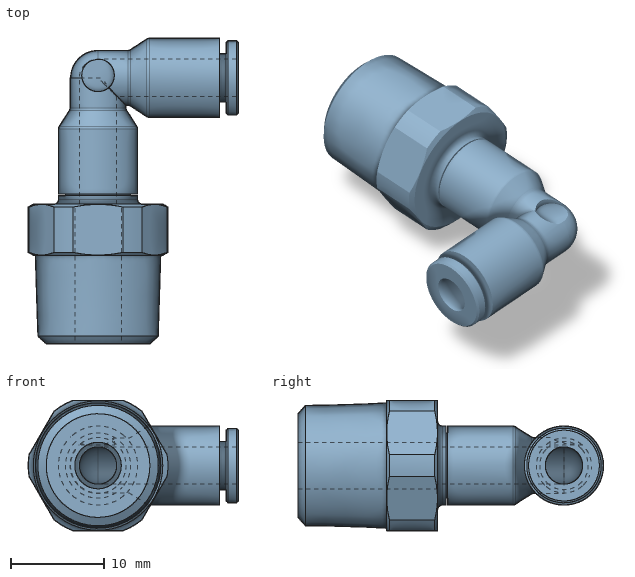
import cadquery as cq
import math


FULL_TURN = 360

SHOULDER_START = 3.37
SHOULDER_END = 5.35
SHOULDER_BLEND = 0.5
BODY_RADIUS = 4.25

STEM_NECK_RADIUS = 3.0
HEX_LENGTH = 5.5
THREAD_LENGTH = 9.5
THREAD_END = 28.55
HEX_END = THREAD_END - THREAD_LENGTH
HEX_START = HEX_END - HEX_LENGTH
COLLAR_FILLET = 0.5
COLLAR_LENGTH = 0.9
COLLAR_START = HEX_START - COLLAR_LENGTH
SWIVEL_GAP = 0.17
SWIVEL_CORE_RADIUS = 3.5

HEX_FLATS = 14.0
HEX_TURN = 30
HEX_CORNER_RADIUS = 7.5
HEX_FACE_RADIUS = 6.95
HEX_CHAMFER_ANGLE = 30

THREAD_GAUGE_RADIUS = 6.58
THREAD_GAUGE_LENGTH = 4.5
THREAD_RADIUS_TAPER = 1 / 32
THREAD_CHAMFER_WIDTH = 0.9
THREAD_CHAMFER_LENGTH = 0.82

BRANCH_NECK_RADIUS = 2.95
BRANCH_BODY_END = 13.05
COLLET_START = 13.75
COLLET_END = 15.05
COLLET_NECK_RADIUS = 2.6
COLLET_RADIUS = 4.0
COLLET_CHAMFER = 0.2

BORE_RADIUS = 2.0
INLET_RADIUS = 2.5

RECESS_RADIUS = 1.75
RECESS_CENTRE_Y = 0.27
RECESS_FLOOR_Z = 2.2


def revolve_stem(points):
    """Revolve (radius, distance) points about the stem axis, distance along -Y."""
    outline = [(radius, -distance) for radius, distance in points]
    return cq.Workplane("XY").polyline(outline).close().revolve(FULL_TURN, (0, 0, 0), (0, 1, 0))


def revolve_branch(points):
    """Revolve (radius, distance) points about the branch axis, distance along +X."""
    outline = [(distance, radius) for radius, distance in points]
    return cq.Workplane("XY").polyline(outline).close().revolve(FULL_TURN, (0, 0, 0), (1, 0, 0))


def blend_shoulder(arm, axis, side):
    """Round both circular edges of the conical shoulder of an arm."""
    reach = 2 * BODY_RADIUS
    near = SHOULDER_START - SHOULDER_BLEND
    far = SHOULDER_END + SHOULDER_BLEND
    low, high = sorted((side * near, side * far))
    if axis == "X":
        zone = cq.selectors.BoxSelector((low, -reach, -reach), (high, reach, reach))
    else:
        zone = cq.selectors.BoxSelector((-reach, low, -reach), (reach, high, reach))
    return arm.edges("%CIRCLE").edges(zone).fillet(SHOULDER_BLEND)


def make_stem():
    stem = revolve_stem([
        (0, 0),
        (STEM_NECK_RADIUS, 0),
        (STEM_NECK_RADIUS, SHOULDER_START),
        (BODY_RADIUS, SHOULDER_END),
        (BODY_RADIUS, COLLAR_START - SWIVEL_GAP),
        (SWIVEL_CORE_RADIUS, COLLAR_START - SWIVEL_GAP),
        (SWIVEL_CORE_RADIUS, HEX_START),
        (0, HEX_START),
    ])
    return blend_shoulder(stem, "Y", -1)


def make_collar():
    """Short collar that flares into the end face of the hexagon."""
    flare_start = HEX_START - COLLAR_FILLET
    flare_radius = BODY_RADIUS + COLLAR_FILLET
    arc_offset = COLLAR_FILLET * math.cos(math.pi / 4)
    return (
        cq.Workplane("XY")
        .moveTo(0, -COLLAR_START)
        .lineTo(BODY_RADIUS, -COLLAR_START)
        .lineTo(BODY_RADIUS, -flare_start)
        .threePointArc((flare_radius - arc_offset, -flare_start - arc_offset), (flare_radius, -HEX_START))
        .lineTo(0, -HEX_START)
        .close()
        .revolve(FULL_TURN, (0, 0, 0), (0, 1, 0))
    )


def make_hexagon():
    """Hexagon with flats facing +Z and -Z, turned down at its corners and chamfered."""
    prism = (
        cq.Workplane("XZ", origin=(0, -HEX_START, 0))
        .polygon(6, HEX_FLATS, circumscribed=True)
        .extrude(HEX_LENGTH)
        .rotate((0, 0, 0), (0, 1, 0), HEX_TURN)
    )
    chamfer_width = HEX_CORNER_RADIUS - HEX_FACE_RADIUS
    chamfer_length = chamfer_width * math.tan(math.radians(HEX_CHAMFER_ANGLE))
    turned_blank = revolve_stem([
        (0, HEX_START),
        (HEX_FACE_RADIUS, HEX_START),
        (HEX_CORNER_RADIUS, HEX_START + chamfer_length),
        (HEX_CORNER_RADIUS, HEX_END - chamfer_length),
        (HEX_FACE_RADIUS, HEX_END),
        (0, HEX_END),
    ])
    return prism.intersect(turned_blank)


def make_thread():
    gauge_plane = THREAD_END - THREAD_GAUGE_LENGTH

    def thread_radius(distance):
        return THREAD_GAUGE_RADIUS - (distance - gauge_plane) * THREAD_RADIUS_TAPER

    chamfer_start = THREAD_END - THREAD_CHAMFER_LENGTH
    end_radius = thread_radius(chamfer_start)
    return revolve_stem([
        (0, HEX_END),
        (thread_radius(HEX_END), HEX_END),
        (end_radius, chamfer_start),
        (end_radius - THREAD_CHAMFER_WIDTH, THREAD_END),
        (0, THREAD_END),
    ])


def make_branch():
    branch = revolve_branch([
        (0, 0),
        (BRANCH_NECK_RADIUS, 0),
        (BRANCH_NECK_RADIUS, SHOULDER_START),
        (BODY_RADIUS, SHOULDER_END),
        (BODY_RADIUS, BRANCH_BODY_END),
        (0, BRANCH_BODY_END),
    ])
    return blend_shoulder(branch, "X", 1)


def make_collet():
    return revolve_branch([
        (0, BRANCH_BODY_END),
        (COLLET_NECK_RADIUS, BRANCH_BODY_END),
        (COLLET_NECK_RADIUS, COLLET_START),
        (COLLET_RADIUS - COLLET_CHAMFER, COLLET_START),
        (COLLET_RADIUS, COLLET_START + COLLET_CHAMFER),
        (COLLET_RADIUS, COLLET_END - COLLET_CHAMFER),
        (COLLET_RADIUS - COLLET_CHAMFER, COLLET_END),
        (0, COLLET_END),
    ])


def make_passages():
    """Right-angle bore with a ball-shaped corner, widened inside hexagon and thread."""
    stem_bore = cq.Workplane("XZ").circle(BORE_RADIUS).extrude(THREAD_END)
    inlet = (
        cq.Workplane("XZ", origin=(0, -HEX_START, 0))
        .circle(INLET_RADIUS)
        .extrude(THREAD_END - HEX_START)
    )
    branch_bore = cq.Workplane("YZ").circle(BORE_RADIUS).extrude(COLLET_END)
    corner = cq.Workplane("XY").sphere(BORE_RADIUS)
    return stem_bore.union(inlet).union(branch_bore).union(corner)


def make_recess():
    return (
        cq.Workplane("XY", origin=(0, RECESS_CENTRE_Y, RECESS_FLOOR_Z))
        .circle(RECESS_RADIUS)
        .extrude(STEM_NECK_RADIUS)
    )


elbow_ball = cq.Workplane("XY").sphere(BRANCH_NECK_RADIUS)
result = (
    make_stem()
    .union(make_branch())
    .union(elbow_ball)
    .union(make_collar())
    .union(make_hexagon())
    .union(make_thread())
    .union(make_collet())
    .cut(make_passages())
    .cut(make_recess())
)